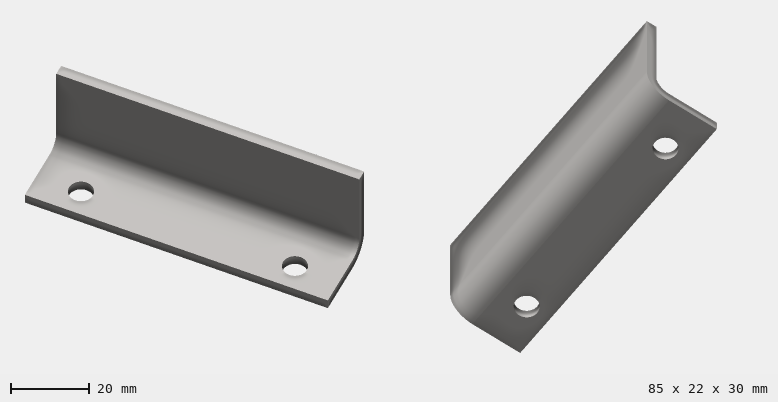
import cadquery as cq

length = 85.0
depth = 22.0
height = 30.0

thickness = 3.0
inner_radius = 4.0
outer_radius = inner_radius + thickness

hole_diameter = 6.6
hole_spacing = 60.0
hole_edge_distance = 7.05


def bent_sheet():
    """L-shaped sheet along X: base leg on Z = 0, upright leg at the back (+Y)."""
    outer_corner = cq.Workplane("XY").box(length, depth, height, centered=(True, False, False))
    outer_corner = outer_corner.edges("|X and >Y and <Z").fillet(outer_radius)
    inner_space = (
        cq.Workplane("XY")
        .box(length, depth - thickness, height - thickness, centered=(True, False, False))
        .edges("|X and >Y and <Z")
        .fillet(inner_radius)
        .translate((0, 0, thickness))
    )
    return outer_corner.cut(inner_space)


def mounting_holes():
    """Cylinders that pass through the base leg, symmetric about the middle of the length."""
    return (
        cq.Workplane("XY")
        .pushPoints([(side * hole_spacing / 2, hole_edge_distance) for side in (-1, 1)])
        .circle(hole_diameter / 2)
        .extrude(thickness)
    )


result = bent_sheet().cut(mounting_holes())